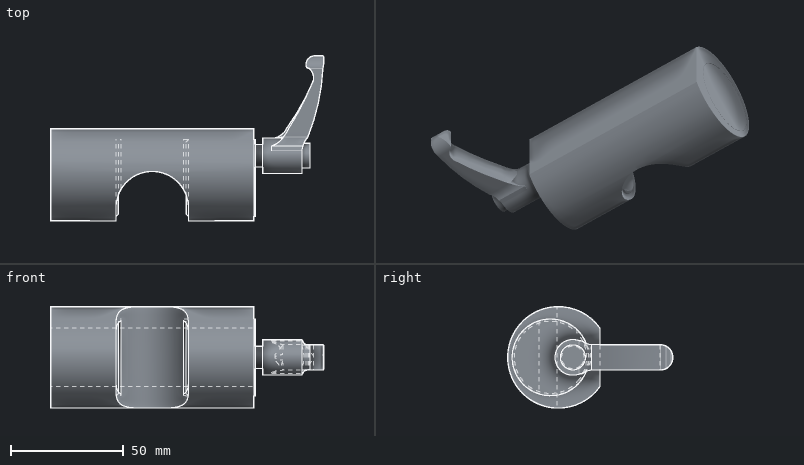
import cadquery as cq
body_length = 90.0
body_radius = 22.5
flat_y = 18.4
body_end = body_length / 2

saddle_radius = 16.0
saddle_top_y = -0.6
saddle_axis_y = saddle_top_y - saddle_radius

jaw_radius = 17.0
jaw_axis_y = -3.5
jaw_face_x = 15.0
jaw_chamfer = 1.0
bore_stop_x = 13.8
plug_gap = 0.2
plug_gap_depth = 0.2
plate_end = body_end + 0.7

lever_axis_y = 6.4
stem_radius = 5.0
hub_radius = 7.9
hub_start = 48.8
hub_end = 66.3
cap_end = 69.9
cap_radius = 5.55

arm_half_width = 5.65
arm_tip_x = 76.0
arm_tip_y = 50.67
arm_end_y = 14.65
tip_corner_radius = 0.8
nose_radius = 4.0
nose_x = 68.0
root_start = 52.8
root_fillet_y = 10.7
root_fillet_z = 7.2
root_flank_y = 7.1
root_flank_z = 7.85
arm_throat = (71.2, 39.5)
arm_inner_middle = (66.4, 29.0)
arm_inner_elbow = (60.5, 18.6)
arm_inner_foot_middle = (59.35, 16.6)
arm_inner_foot = (58.0, arm_end_y)

ridge_half_width = 1.2
ridge_middle = (66.1, 29.0)
ridge_elbow = (59.5, 18.6)
ridge_foot_middle = (57.4, 15.9)
ridge_foot = (54.3, 14.3)
ridge_back = (64.0, 14.0)


def rod(radius, axis_y, start, end):
    """Cylinder along X about the axis at the given Y."""
    return (
        cq.Workplane("YZ", origin=(start, axis_y, 0))
        .circle(radius)
        .extrude(end - start)
    )


def make_body():
    body = rod(body_radius, 0, -body_end, body_end)
    flat_cutter = cq.Workplane("XY").box(
        body_length, body_radius, 2 * body_radius, centered=(True, False, True)
    )
    body = body.cut(flat_cutter.translate((0, flat_y, 0)))
    saddle = (
        cq.Workplane("XY", origin=(0, 0, -body_radius))
        .moveTo(-saddle_radius, -body_radius)
        .lineTo(-saddle_radius, saddle_axis_y)
        .threePointArc((0, saddle_top_y), (saddle_radius, saddle_axis_y))
        .lineTo(saddle_radius, -body_radius)
        .close()
        .extrude(2 * body_radius)
    )
    return body.cut(saddle)


def fit_jaws(body):
    """Bore the body from both ends, set in the jaws and mark the plug's rim on the left end."""
    right_jaw = rod(jaw_radius, jaw_axis_y, jaw_face_x, plate_end).faces("<X").chamfer(jaw_chamfer)
    left_jaw = rod(jaw_radius, jaw_axis_y, -body_end, -jaw_face_x).faces(">X").chamfer(jaw_chamfer)
    for start, end, jaw in (
        (-body_end, -bore_stop_x, left_jaw),
        (bore_stop_x, body_end, right_jaw),
    ):
        body = body.cut(rod(jaw_radius, jaw_axis_y, start, end)).union(jaw)
    gap_end = -body_end + plug_gap_depth
    gap = rod(jaw_radius, jaw_axis_y, -body_end, gap_end).cut(
        rod(jaw_radius - plug_gap, jaw_axis_y, -body_end, gap_end)
    )
    return body.cut(gap)


def arm_outline():
    """Side shape of the arm, from the hub to the rounded nose at the tip."""
    return (
        cq.Workplane("XY", origin=(0, 0, -hub_radius))
        .moveTo(root_start, lever_axis_y)
        .lineTo(hub_end, lever_axis_y)
        .lineTo(hub_end, 9.0)
        .threePointArc((67.0, 11.6), (68.9, arm_end_y))
        .threePointArc((73.5, 29.5), (75.6, 45.2))
        .lineTo(arm_tip_x, 47.5)
        .lineTo(arm_tip_x, arm_tip_y - tip_corner_radius)
        .radiusArc((arm_tip_x - tip_corner_radius, arm_tip_y), -tip_corner_radius)
        .lineTo(nose_x + nose_radius, arm_tip_y)
        .radiusArc((nose_x, arm_tip_y - nose_radius), -nose_radius)
        .threePointArc((68.3, 45.6), (69.4, 45.0))
        .threePointArc((70.9, 43.0), arm_throat)
        .threePointArc(arm_inner_middle, arm_inner_elbow)
        .threePointArc(arm_inner_foot_middle, arm_inner_foot)
        .threePointArc((55.7, 12.2), (root_start, root_fillet_y))
        .close()
        .extrude(2 * hub_radius)
    )


def arm_section():
    """Shape of the arm along X: wide filleted root, parallel sides, round tip."""
    tip_axis_y = arm_tip_y - arm_half_width
    rise = arm_end_y - root_fillet_y
    drop = root_fillet_z - arm_half_width
    fillet_radius = (rise**2 + drop**2) / (2 * drop)
    return (
        cq.Workplane("YZ", origin=(root_start, 0, 0))
        .moveTo(lever_axis_y, -arm_half_width)
        .lineTo(root_flank_y, -root_flank_z)
        .lineTo(root_fillet_y, -root_fillet_z)
        .radiusArc((arm_end_y, -arm_half_width), fillet_radius)
        .lineTo(tip_axis_y, -arm_half_width)
        .threePointArc((arm_tip_y, 0), (tip_axis_y, arm_half_width))
        .lineTo(arm_end_y, arm_half_width)
        .radiusArc((root_fillet_y, root_fillet_z), fillet_radius)
        .lineTo(root_flank_y, root_flank_z)
        .lineTo(lever_axis_y, arm_half_width)
        .close()
        .extrude(arm_tip_x - root_start)
    )


def ridge_wire(middle, elbow, foot_middle, foot, z):
    """Cut through the ridge at height z: its inner curve, closed off inside the arm."""
    return (
        cq.Workplane("XY", origin=(0, 0, z))
        .moveTo(*arm_throat)
        .threePointArc(middle, elbow)
        .threePointArc(foot_middle, foot)
        .lineTo(*ridge_back)
        .close()
    )


def crest_wire(z):
    return ridge_wire(ridge_middle, ridge_elbow, ridge_foot_middle, ridge_foot, z)


def make_ridge():
    """Flat crest along the arm's middle, sloping back to the arm's inner edges."""
    crest = crest_wire(-ridge_half_width).extrude(2 * ridge_half_width)
    edge = ridge_wire(
        arm_inner_middle, arm_inner_elbow, arm_inner_foot_middle, arm_inner_foot, arm_half_width
    )
    flank = cq.Workplane(
        cq.Solid.makeLoft([crest_wire(ridge_half_width).val(), edge.val()], True)
    )
    return crest.union(flank).union(flank.mirror("XY"))


def make_lever():
    stem = rod(stem_radius, lever_axis_y, body_end, hub_start)
    hub = rod(hub_radius, lever_axis_y, hub_start, hub_end)
    cap = rod(cap_radius, lever_axis_y, hub_end, cap_end)
    arm = arm_outline().intersect(arm_section())
    return stem.union(hub).union(cap).union(make_ridge()).union(arm)


result = fit_jaws(make_body()).union(make_lever())